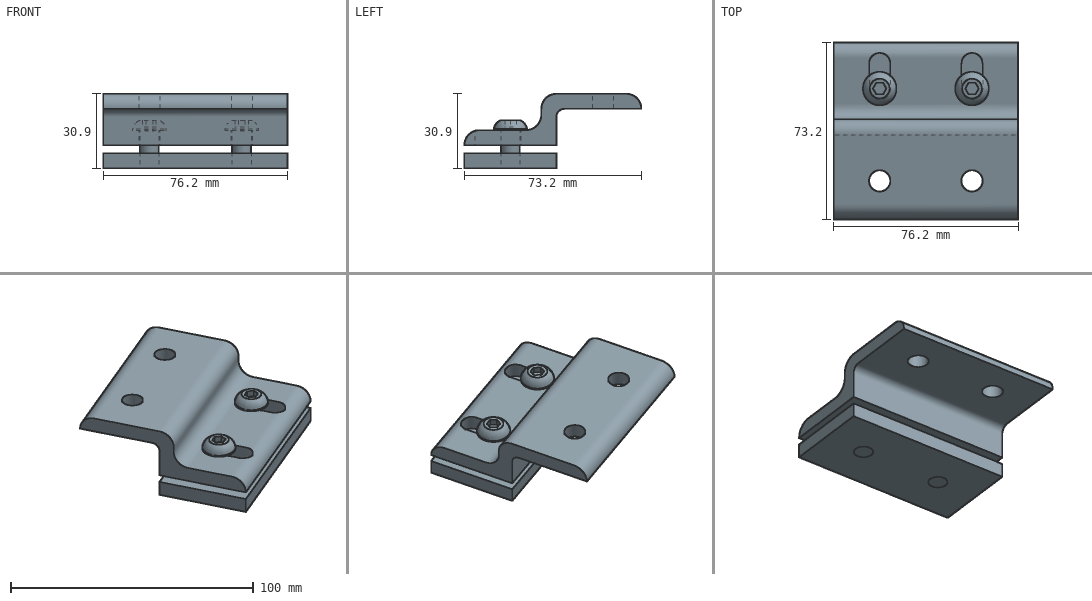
import cadquery as cq
import math

width = 76.2
bracket_depth = 73.15
total_height = 30.85
foot_depth = 38.1
thickness = 6.3
clamp_gap = 3.2

foot_bottom = thickness + clamp_gap
foot_top = foot_bottom + thickness
arm_bottom = total_height - thickness

web_front = -foot_depth
web_back = web_front + thickness
bend_radius = thickness
inner_bend_radius = 3.2

screw_spacing = 38.1
screw_x = [-screw_spacing / 2, screw_spacing / 2]
screw_y = -foot_depth / 2
shank_diameter = 7.9
head_diameter = 13.9
head_height = 4.1
head_rim_height = 0.6
head_flat_diameter = 8.15
dome_bulge = 0.5
socket_width = 4.8
socket_depth = 2.7
clearance_diameter = 8.7
slot_travel = 10.4
mounting_hole_y = -57.15


def vertical_cylinder(diameter, x, y, bottom, height):
    return cq.Workplane("XY", origin=(x, y, bottom)).circle(diameter / 2).extrude(height)


def make_clamp_plate():
    plate = cq.Workplane("XY").box(width, foot_depth, thickness, centered=(True, False, False))
    plate = plate.translate((0, -foot_depth, 0))
    for x in screw_x:
        plate = plate.cut(vertical_cylinder(shank_diameter, x, screw_y, 0, thickness))
    return plate


def bracket_profile():
    """Z-shaped section with rounded free ends and bends, in the YZ plane."""
    return (
        cq.Workplane("YZ", origin=(-width / 2, 0, 0))
        .moveTo(0, foot_bottom)
        .radiusArc((-bend_radius, foot_top), -bend_radius)
        .lineTo(web_back + bend_radius, foot_top)
        .radiusArc((web_back, foot_top + bend_radius), bend_radius)
        .lineTo(web_back, total_height - bend_radius)
        .radiusArc((web_back - bend_radius, total_height), -bend_radius)
        .lineTo(-bracket_depth + bend_radius, total_height)
        .radiusArc((-bracket_depth, arm_bottom), -bend_radius)
        .lineTo(web_front - inner_bend_radius, arm_bottom)
        .radiusArc((web_front, arm_bottom - inner_bend_radius), inner_bend_radius)
        .lineTo(web_front, foot_bottom)
        .close()
    )


def adjustment_slot(x):
    """Slot running from the screw axis towards the back edge."""
    return (
        cq.Workplane("XY", origin=(x, screw_y + slot_travel / 2, foot_bottom))
        .slot2D(slot_travel + clearance_diameter, clearance_diameter, 90)
        .extrude(thickness)
    )


def make_bracket():
    bracket = bracket_profile().extrude(width)
    for x in screw_x:
        bracket = bracket.cut(adjustment_slot(x))
        bracket = bracket.cut(
            vertical_cylinder(clearance_diameter, x, mounting_hole_y, arm_bottom, thickness)
        )
        bracket = bracket.cut(vertical_cylinder(head_diameter, x, screw_y, foot_top, head_height))
    return bracket


def make_screw(x):
    """Button-head screw with a hexagon socket, its shank ending flush with the plate."""
    head_radius = head_diameter / 2
    head_top = foot_top + head_height
    screw = (
        cq.Workplane("XZ")
        .lineTo(shank_diameter / 2, 0)
        .lineTo(shank_diameter / 2, foot_top)
        .lineTo(head_radius, foot_top)
        .lineTo(head_radius, foot_top + head_rim_height)
        .sagittaArc((head_flat_diameter / 2, head_top), -dome_bulge)
        .lineTo(0, head_top)
        .close()
        .revolve(360, (0, 0, 0), (0, 1, 0))
    )
    socket_corner_diameter = socket_width / math.cos(math.pi / 6)
    socket = (
        cq.Workplane("XY", origin=(0, 0, head_top - socket_depth))
        .polygon(6, socket_corner_diameter)
        .extrude(socket_depth)
    )
    return screw.cut(socket).translate((x, screw_y, 0))


clamp_plate = make_clamp_plate()
bracket = make_bracket()
screws = [make_screw(x).val() for x in screw_x]

result = cq.Compound.makeCompound([clamp_plate.val(), bracket.val(), *screws])